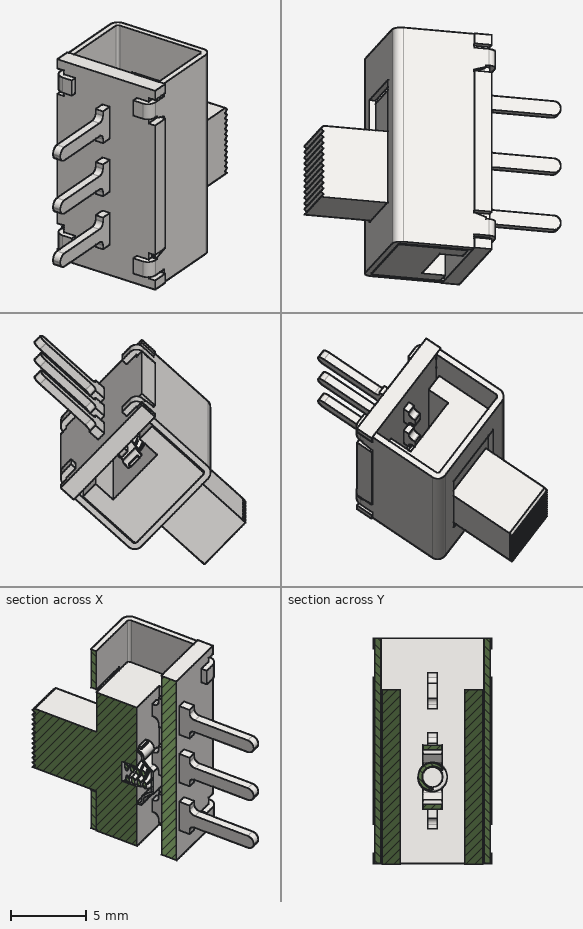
import cadquery as cq


base_width = 7.9
base_thickness = 1.2
switch_height = 15.0
notch_length = 1.92
notch_end_distance = 0.7

pin_pitch = 4.0
pin_thickness = 0.6
shank_width = 1.0
shoulder_width = 2.4
pin_tip_y = -7.01
outer_shoulder_y = -2.0
inner_shoulder_y = 0.43
contact_end_y = 0.94
pin_fillet = 0.4
pin_tip_radius = 0.48

frame_width = 7.7
frame_depth = 5.5
sheet_thickness = 0.43
frame_radius = 0.62
frame_inner_radius = frame_radius - sheet_thickness
inner_wall_y = frame_depth - sheet_thickness
notch_depth = (base_width - frame_width) / 2 + sheet_thickness
slot_width = 4.51
slot_height = 8.55

tab_width = 1.15
tab_reach = 1.37
tab_end_distance = 0.97
tab_bottom_y = -base_thickness - sheet_thickness
gusset_end_distance = 2.5
gusset_depth = 0.82
gusset_step = 0.12

slider_width = 6.7
slider_height = 11.61
slider_z = -1.75
slider_corner = 0.12
slider_leg_y = 0.29
channel_width = 4.28
channel_y = 1.9
knob_width = 4.0
knob_height = 5.0
knob_tip_y = 10.09
tooth_count = 12.5
tooth_pitch = knob_height / tooth_count
tooth_depth = tooth_pitch / 2

spring_radius = 0.82
wire_diameter = 0.3
spring_pitch = 0.45
spring_turns = 4
spring_start_y = 1.13
spring_length = spring_turns * spring_pitch
spring_top_y = spring_start_y + spring_length + wire_diameter / 2
bore_clearance = 0.05
bore_radius = spring_radius + wire_diameter / 2 + bore_clearance

strip_width = 1.28
strip_thickness = 0.17
strip_half_length = 2.25
strip_bend_radius = 0.48
strip_flat_y = 1.37
dip_knee_y = 0.92
dip_floor_y = 0.62
dip_mouth = 1.57
dip_knee = 1.13
dip_floor = 0.92
lug_width = 0.85
lug_thickness = 0.2
lug_length = 0.35


def box(x_range, y_range, z_range):
    """Block between the given lower and upper limits."""
    (x0, x1), (y0, y1), (z0, z1) = x_range, y_range, z_range
    return cq.Workplane("XY").box(x1 - x0, y1 - y0, z1 - z0, centered=False).translate((x0, y0, z0))


def centred(size, middle=0.0):
    """Range of the given size about its middle."""
    return middle - size / 2, middle + size / 2


def side_prism(sketch_points, thickness):
    """Prism about X = 0 from (y, z) outline points."""
    return cq.Workplane("YZ").polyline(sketch_points).close().extrude(thickness / 2, both=True)


def mirrored(shape, plane):
    """Shape joined with its mirror image."""
    return shape.union(shape.mirror(plane))


def make_pin(z):
    """Flat terminal with a shouldered middle, a rounded outer tip and a square inner end."""
    half_shank = shank_width / 2
    shoulder = box(
        centred(pin_thickness), (outer_shoulder_y, inner_shoulder_y), centred(shoulder_width)
    )
    shank = box(centred(pin_thickness), (pin_tip_y, contact_end_y), centred(shank_width))
    shank = shank.edges("|X and <Y").fillet(pin_tip_radius)
    pin = shoulder.union(shank)
    for y in (outer_shoulder_y, inner_shoulder_y):
        for side in (-1, 1):
            corner = cq.selectors.NearestToPointSelector((0, y, side * half_shank))
            pin = pin.edges("|X").edges(corner).fillet(pin_fillet)
    return pin.translate((0, 0, z))


def make_base():
    """Notched plate carrying the three terminal pins."""
    base = box(centred(base_width), (-base_thickness, 0), centred(switch_height))
    notch_top = switch_height / 2 - notch_end_distance
    notch = box(
        (base_width / 2 - notch_depth, base_width / 2),
        (-base_thickness, 0),
        (notch_top - notch_length, notch_top),
    )
    base = base.cut(mirrored(mirrored(notch, "XY"), "YZ"))
    for row in (-1, 0, 1):
        base = base.union(make_pin(row * pin_pitch))
    return base


def make_tab():
    """Folded tab at the +X, +Z corner, with the gusset that joins it to the frame side."""
    half_width = frame_width / 2
    frame_top = switch_height / 2
    tab_top = frame_top - tab_end_distance
    tab_range = (tab_top - tab_width, tab_top)
    outer = box((half_width - tab_reach, half_width), (tab_bottom_y, 0), tab_range)
    outer = outer.edges("|Z and >X and <Y").fillet(frame_radius)
    inside = box(
        (half_width - tab_reach, half_width - sheet_thickness), (-base_thickness, 0), tab_range
    )
    gusset = side_prism(
        [
            (0, tab_range[0]),
            (0, frame_top - gusset_end_distance),
            (-gusset_depth, tab_range[0] - gusset_step),
            (-gusset_depth, tab_range[0]),
        ],
        sheet_thickness,
    )
    gusset = gusset.translate((half_width - sheet_thickness / 2, 0, 0))
    return outer.cut(inside).union(gusset)


def make_frame():
    """U-shaped sheet frame with a knob slot and four tabs folded under the base."""
    frame = box(centred(frame_width), (0, frame_depth), centred(switch_height))
    frame = frame.edges("|Z and >Y").fillet(frame_radius)
    cavity = box(
        centred(frame_width - 2 * sheet_thickness), (0, inner_wall_y), centred(switch_height)
    )
    cavity = cavity.edges("|Z and >Y").fillet(frame_inner_radius)
    slot = box(centred(slot_width), (0, frame_depth), centred(slot_height))
    tabs = mirrored(mirrored(make_tab(), "XY"), "YZ")
    return frame.cut(cavity).cut(slot).union(tabs)


def make_knob():
    """Knob with a sawtooth grip; the top edge starts at a root and the bottom ends on a crest."""
    top = slider_z + knob_height / 2
    root_y = knob_tip_y - tooth_depth
    grip = []
    for step in range(int(2 * tooth_count) + 1):
        y = knob_tip_y if step % 2 else root_y
        grip.append((y, top - step * tooth_pitch / 2))
    foot = [(channel_y, top - knob_height), (channel_y, top)]
    return side_prism(grip + foot, knob_width)


def make_slider():
    """Sliding block with a knob, a through channel underneath and a blind spring bore."""
    body_z = centred(slider_height, slider_z)
    body = box(centred(slider_width), (slider_leg_y, inner_wall_y), body_z)
    body = body.edges("|Z and >Y").chamfer(slider_corner)
    channel = box(centred(channel_width), (slider_leg_y, channel_y), body_z)
    bore = cq.Solid.makeCylinder(
        bore_radius, spring_top_y - channel_y, cq.Vector(0, channel_y, slider_z), cq.Vector(0, 1, 0)
    )
    return body.cut(channel).union(make_knob()).cut(cq.Workplane(bore))


def make_spring():
    """Round-wire compression spring on a Y axis, half sunk in the slider."""
    helix = cq.Wire.makeHelix(spring_pitch, spring_length, spring_radius)
    coil = (
        cq.Workplane("XZ", origin=(spring_radius, 0, 0))
        .circle(wire_diameter / 2)
        .sweep(cq.Workplane(helix), isFrenet=True)
    )
    coil = coil.rotate((0, 0, 0), (1, 0, 0), -90)
    return coil.translate((0, spring_start_y, slider_z))


def make_contact():
    """Bent strip whose middle dips between two pins, with lugs under the slider at both ends."""
    roof_y = channel_y + strip_thickness
    half_outline = [
        (dip_floor_y, dip_floor),
        (dip_knee_y, dip_knee),
        (strip_flat_y, dip_mouth),
        (strip_flat_y, strip_half_length),
        (roof_y, strip_half_length),
    ]
    other_half = [(y, -z) for y, z in reversed(half_outline)]
    outer = side_prism(half_outline + other_half, strip_width)
    inner_wires = outer.faces(">X").wires().val().offset2D(-strip_thickness, "intersection")
    inner = cq.Workplane("YZ").newObject(inner_wires).toPending().extrude(-strip_width)
    for side in (-1, 1):
        bend = (0, strip_flat_y, side * strip_half_length)
        outer = outer.edges("|X").edges(cq.selectors.NearestToPointSelector(bend))
        outer = outer.fillet(strip_bend_radius)
        inner = inner.edges("|X").edges(cq.selectors.NearestToPointSelector(bend))
        inner = inner.fillet(strip_bend_radius - strip_thickness)
    roof = box(centred(strip_width), (channel_y, roof_y), centred(2 * strip_half_length))
    lug_start = strip_half_length - strip_thickness
    lug = box(
        centred(lug_width),
        (channel_y - lug_thickness, channel_y),
        (lug_start, lug_start + lug_length),
    )
    strip = outer.cut(inner).cut(roof).union(mirrored(lug, "XY"))
    return strip.translate((0, 0, slider_z))


base = make_base()
frame = make_frame()
slider = make_slider()
spring = make_spring()
contact = make_contact()

result = cq.Compound.makeCompound(
    [*base.solids(), *frame.solids(), *slider.solids(), *spring.solids(), *contact.solids()]
)